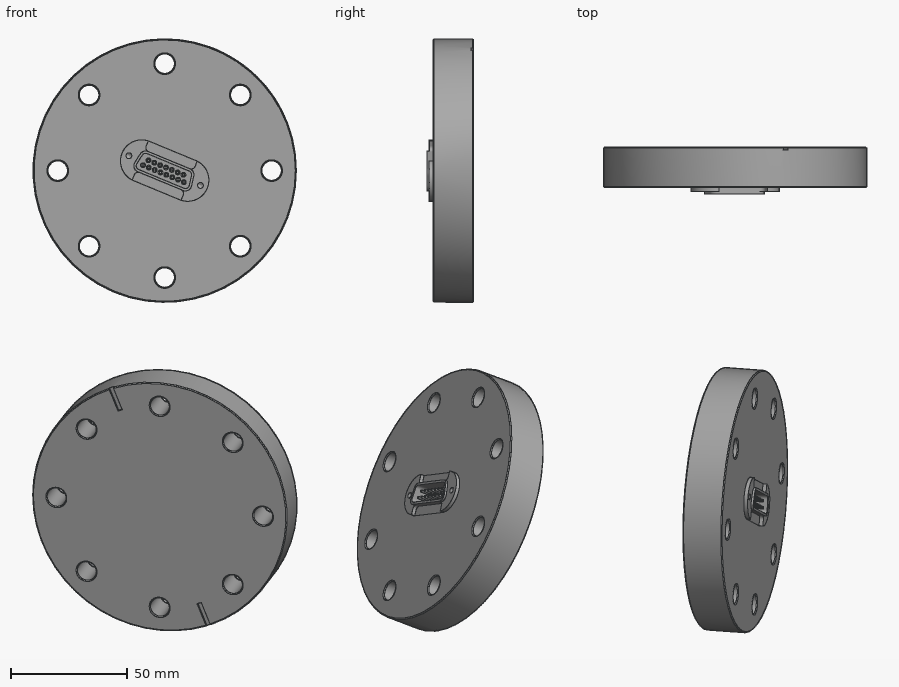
import cadquery as cq
import math

FLANGE_DIAMETER = 113.5
FLANGE_THICKNESS = 17.5
RIM_CHAMFER = 0.5

BOLT_COUNT = 8
BOLT_SPACING = 360 / BOLT_COUNT
BOLT_CIRCLE_RADIUS = 46.1
BOLT_HOLE_DIAMETER = 8.4
BOLT_HOLE_CHAMFER = 0.5

GROOVE_COUNT = 2
GROOVE_WIDTH = 2.0
GROOVE_DEPTH = 1.1
GROOVE_LENGTH = FLANGE_DIAMETER / 2 - BOLT_CIRCLE_RADIUS
GROOVE_ANGLE = 90 - BOLT_SPACING / 2

CONNECTOR_TILT = BOLT_SPACING / 2
BASE_LENGTH = 39.7
BASE_WIDTH = 18.3
BASE_DEPTH = 5.1
EAR_HEIGHT = 1.7
EAR_GAP = 22.8
EAR_FILLET = 1.8

SCREW_SPACING = 33.4
SCREW_HOLE_DIAMETER = 2.5
SCREW_HOLE_DEPTH = 4.5
DRILL_POINT_ANGLE = 118.0

SHELL_LENGTH = 25.9
SHELL_WIDTH = 9.8
SHELL_HEIGHT = 2.7
SHELL_WALL = 1.0
SHELL_CORNER_RADIUS = 2.7
SHELL_FLANK_ANGLE = math.radians(10)
CAVITY_DEPTH = 6.2

PIN_PITCH = 2.7
PIN_ROW_SPACING = 2.8
UPPER_ROW_PINS = 7
LOWER_ROW_PINS = 8
PIN_DIAMETER = 1.0
PIN_LENGTH = 5.1
COLLAR_DIAMETER = 2.0
COLLAR_HEIGHT = 0.6


def front_plane(height):
    """Sketch plane `height` in front of the flange face, with its normal along -Y."""
    return cq.Workplane("XZ", origin=(0, -height, 0))


def tilted(body):
    """Turn a body built along X to the tilt of the connector."""
    return body.rotate((0, 0, 0), (0, 1, 0), CONNECTOR_TILT)


def base_block(bottom, top):
    """Stadium-shaped block between two heights."""
    return front_plane(bottom).slot2D(BASE_LENGTH, BASE_WIDTH).extrude(top - bottom)


def make_flange():
    rear = front_plane(-FLANGE_THICKNESS)
    disc = rear.circle(FLANGE_DIAMETER / 2).extrude(FLANGE_THICKNESS)
    disc = disc.edges().chamfer(RIM_CHAMFER)
    grooves = (
        rear.polarArray(FLANGE_DIAMETER / 2 - GROOVE_LENGTH / 2, GROOVE_ANGLE, 360, GROOVE_COUNT)
        .rect(GROOVE_LENGTH, GROOVE_WIDTH)
        .extrude(GROOVE_DEPTH)
    )
    connector_pocket = tilted(base_block(-BASE_DEPTH, 0))
    return disc.cut(bolt_holes()).cut(grooves).cut(connector_pocket)


def bolt_holes():
    """Through holes of the bolt circle, widened by a chamfer at both ends."""
    radius = BOLT_HOLE_DIAMETER / 2
    hole = front_plane(-FLANGE_THICKNESS).circle(radius).extrude(FLANGE_THICKNESS)
    countersink = front_plane(0).circle(radius + BOLT_HOLE_CHAMFER).extrude(-BOLT_HOLE_CHAMFER, taper=45)
    rear_countersink = countersink.mirror("XZ", (0, FLANGE_THICKNESS / 2, 0))
    hole = hole.union(countersink).union(rear_countersink).translate((BOLT_CIRCLE_RADIUS, 0, 0))
    holes = cq.Workplane("XZ")
    for index in range(BOLT_COUNT):
        holes = holes.add(hole.rotate((0, 0, 0), (0, 1, 0), index * BOLT_SPACING))
    return holes.combine()


def make_connector():
    base = base_block(-BASE_DEPTH, 0)
    shell = d_block(0, 0, SHELL_HEIGHT)
    cavity = d_block(SHELL_WALL, SHELL_HEIGHT - CAVITY_DEPTH, SHELL_HEIGHT)
    connector = base.union(ears()).union(shell).cut(cavity).cut(screw_holes()).union(pins())
    return tilted(connector)


def ears():
    """Raised ends of the base, parted by a gap whose corners beside the shell are rounded."""
    gap = (
        front_plane(0)
        .center(0, SHELL_WIDTH / 2 + BASE_WIDTH / 2)
        .rect(EAR_GAP, BASE_WIDTH)
        .extrude(EAR_HEIGHT)
        .edges("|Y and <Z")
        .fillet(EAR_FILLET)
    )
    return base_block(0, EAR_HEIGHT).cut(gap).cut(gap.mirror("XY"))


def d_block(inset, bottom, top):
    """D-shaped block with the shell outline moved inward by `inset`, between two heights."""
    half_width = SHELL_WIDTH / 2 - inset
    half_length = SHELL_LENGTH / 2 - inset / math.cos(SHELL_FLANK_ANGLE)
    flank_run = half_width * math.tan(SHELL_FLANK_ANGLE)
    corners = [
        (-half_length - flank_run, -half_width),
        (half_length + flank_run, -half_width),
        (half_length - flank_run, half_width),
        (-half_length + flank_run, half_width),
    ]
    block = front_plane(bottom).polyline(corners).close().extrude(top - bottom)
    return block.edges("|Y").fillet(SHELL_CORNER_RADIUS - inset)


def screw_holes():
    """Blind drilled holes in the ears, with conical bottoms."""
    radius = SCREW_HOLE_DIAMETER / 2
    point_depth = radius / math.tan(math.radians(DRILL_POINT_ANGLE / 2))
    half_section = [
        (0, -EAR_HEIGHT),
        (radius, -EAR_HEIGHT),
        (radius, SCREW_HOLE_DEPTH - EAR_HEIGHT),
        (0, SCREW_HOLE_DEPTH - EAR_HEIGHT + point_depth),
    ]
    hole = cq.Workplane("XY").polyline(half_section).close().revolve(360, (0, 0), (0, 1))
    offset = SCREW_SPACING / 2
    return hole.translate((offset, 0, 0)).union(hole.translate((-offset, 0, 0)))


def pin_points():
    """Pin centres of both rows, each row centred on the connector."""
    points = []
    for count, side in ((UPPER_ROW_PINS, 1), (LOWER_ROW_PINS, -1)):
        for index in range(count):
            points.append(((index - (count - 1) / 2) * PIN_PITCH, side * PIN_ROW_SPACING / 2))
    return points


def pins():
    floor = front_plane(SHELL_HEIGHT - CAVITY_DEPTH)
    collars = floor.pushPoints(pin_points()).circle(COLLAR_DIAMETER / 2).extrude(COLLAR_HEIGHT)
    shafts = floor.pushPoints(pin_points()).circle(PIN_DIAMETER / 2).extrude(PIN_LENGTH)
    return collars.union(shafts)


flange = make_flange()
connector = make_connector()

result = cq.Compound.makeCompound([flange.val(), connector.val()])